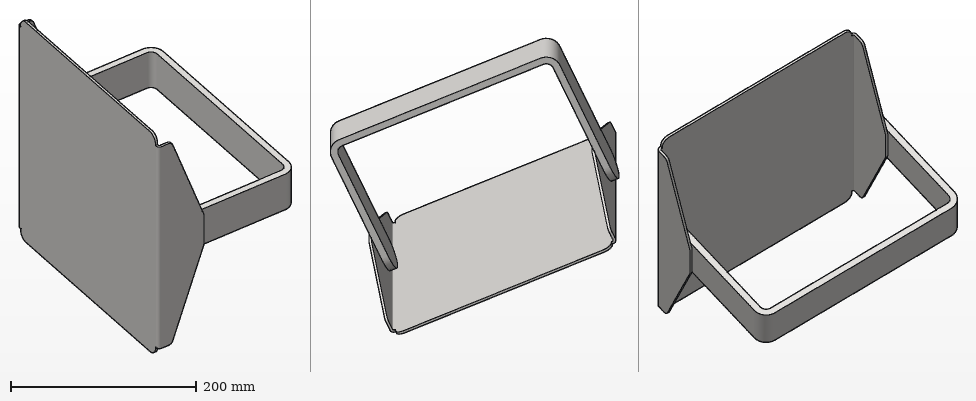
import cadquery as cq

panel_height = 300.0
panel_width = 267.0
sheet = 3.0
bend_inner_radius = 1.2
bend_outer_radius = bend_inner_radius + sheet
tongue_width = 256.0
tongue_corner_radius = 10.2

flange_height = 275.0
flange_depth = 60.3
flange_straight_depth = 17.7
flange_back_height = 40.2
flange_corner_radius = 6.0

overall_depth = 186.0
strap_width = 270.3
strap_height = 48.5
strap_thickness = 8.0
strap_end_y = 12.5
strap_inner_radius = strap_thickness
strap_outer_radius = strap_inner_radius + strap_thickness
strap_end_radius = strap_height / 2
strap_left_x = -panel_width / 2 - strap_thickness
strap_center_x = strap_left_x + strap_width / 2


def box_between(width, y_start, y_end, height):
    """Box centred on X and Z that runs from y_start to y_end."""
    return cq.Workplane("XY").box(width, y_end - y_start, height).translate((0, (y_start + y_end) / 2, 0))


def make_flange_profile():
    """Tapered side outline extruded past both sides of the panel."""
    half_height = flange_height / 2
    half_back = flange_back_height / 2
    outline = [
        (0, -half_height),
        (flange_straight_depth, -half_height),
        (flange_depth, -half_back),
        (flange_depth, half_back),
        (flange_straight_depth, half_height),
        (0, half_height),
    ]
    prism = cq.Workplane("YZ").polyline(outline).close().extrude(panel_width, both=True)
    taper_corners = prism.edges("|X").edges(cq.selectors.BoxSelector(
        (-2 * panel_width, flange_straight_depth / 2, -panel_height),
        (2 * panel_width, 2 * flange_depth, panel_height),
    ))
    return taper_corners.fillet(flange_corner_radius)


def make_panel():
    """Flat front sheet with two bent flanges and a rounded tongue above and below."""
    channel = box_between(panel_width, 0, flange_depth, flange_height)
    channel = channel.edges("|Z and <Y").fillet(bend_outer_radius)
    inner_width = panel_width - 2 * sheet
    cavity = box_between(inner_width, sheet, 2 * flange_depth, panel_height)
    cavity = cavity.edges("|Z and <Y").fillet(bend_inner_radius)
    channel = channel.cut(cavity).intersect(make_flange_profile())
    tongues = box_between(tongue_width, 0, sheet, panel_height)
    tongues = tongues.edges("|Y").fillet(tongue_corner_radius)
    return channel.union(tongues)


def make_strap():
    """U-shaped strap whose two legs end in half rounds."""
    bar = box_between(strap_width, strap_end_y, overall_depth, strap_height)
    bar = bar.edges("|Z and >Y").fillet(strap_outer_radius)
    inner_width = strap_width - 2 * strap_thickness
    opening = box_between(inner_width, 0, overall_depth - strap_thickness, 2 * strap_height)
    opening = opening.edges("|Z and >Y").fillet(strap_inner_radius)
    round_center_y = strap_end_y + strap_end_radius
    side_outline = (
        cq.Workplane("YZ")
        .moveTo(overall_depth, -strap_end_radius)
        .lineTo(round_center_y, -strap_end_radius)
        .threePointArc((strap_end_y, 0), (round_center_y, strap_end_radius))
        .lineTo(overall_depth, strap_end_radius)
        .close()
        .extrude(strap_width, both=True)
    )
    return bar.cut(opening).intersect(side_outline).translate((strap_center_x, 0, 0))


panel = make_panel()
strap = make_strap()
result = cq.Compound.makeCompound([panel.solids().val(), strap.solids().val()])